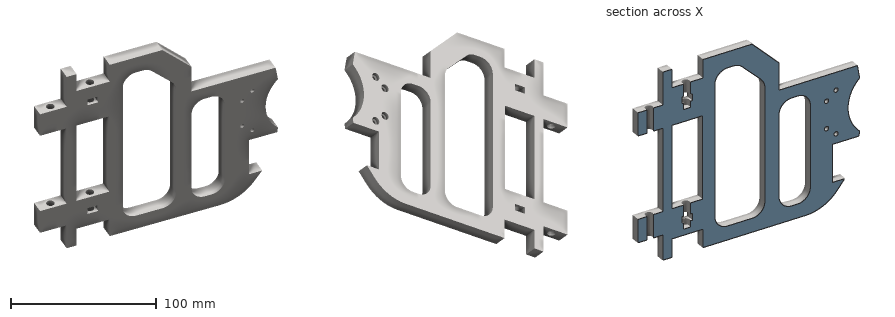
import cadquery as cq
import math

thickness = 10.0
length = 179.3
height = 150.0

arm_tip_length = 20.0
bar_inner_y = 27.6
frame_edge_y = 52.5
gap_edge_y = 52.2
arm_tip_height = 18.8
lower_arm_bottom = 14.7
lower_tip_bottom = 20.0
lower_arm_top = 39.0
upper_arm_bottom = 105.0
upper_arm_top = 135.3
upper_tip_top = upper_arm_bottom + arm_tip_height

shoulder_y = 114.2
shoulder_top = 128.2
slope_top_y = 92.1
nose_top = 106.7
nose_top_y = 177.5
nose_bottom = 49.8
nose_bottom_y = 178.7
nose_center_z = 75.0
scoop_half_height = 21.2
scoop_depth = 9.3
notch_y = 157.4
notch_bottom = 19.9
heel_tip_y = 167.5
heel_start_y = 135.3
heel_radius = 33.3

window_bottom = 11.5
window_radius = 10.0
grip_window_y = (shoulder_y, 139.1)
grip_window_top = 97.0
main_window_y = (62.4, 102.4)
main_window_top = 137.0
main_slope_y = 81.4
main_slope_z = 116.5

screw_places = [(160.0, 17.4), (152.4, 11.0)]
screw_diameter = 3.0
screw_head_diameter = 6.0
screw_head_depth = 2.9

bolt_diameter = 6.0
tip_bolt_y = arm_tip_length / 2
nut_y = 39.8
nut_width = 8.2
nut_height = 5.0
lower_nut_z = 27.5
upper_nut_z = 122.6
bolt_end_clearance = 5.0


def plate(sketch):
    """Extrude a closed YZ outline through the full plate thickness."""
    return sketch.extrude(thickness / 2, both=True)


def block(y_min, y_max, z_min, z_max):
    """Full-thickness rectangular block."""
    return (
        cq.Workplane("XY")
        .box(thickness, y_max - y_min, z_max - z_min, centered=(True, False, False))
        .translate((0, y_min, z_min))
    )


def heel_point(angle):
    """Point on the heel arc, at an angle turned from its lowest point."""
    y = heel_start_y + heel_radius * math.sin(angle)
    z = heel_radius * (1 - math.cos(angle))
    return y, z


def frame():
    """Frame with the scooped nose, the notch and the rounded heel."""
    tip_run = heel_tip_y - heel_start_y
    tip_drop = heel_radius - notch_bottom
    heel_angle = math.atan2(tip_run, tip_drop) - math.acos(heel_radius / math.hypot(tip_run, tip_drop))
    return plate(
        cq.Workplane("YZ")
        .moveTo(frame_edge_y, 0)
        .lineTo(heel_start_y, 0)
        .threePointArc(heel_point(heel_angle / 2), heel_point(heel_angle))
        .lineTo(heel_tip_y, notch_bottom)
        .lineTo(notch_y, notch_bottom)
        .lineTo(notch_y, nose_bottom)
        .lineTo(nose_bottom_y, nose_bottom)
        .lineTo(length, nose_center_z - scoop_half_height)
        .threePointArc(
            (length - scoop_depth, nose_center_z), (length, nose_center_z + scoop_half_height)
        )
        .lineTo(nose_top_y, nose_top)
        .lineTo(shoulder_y, nose_top)
        .lineTo(shoulder_y, shoulder_top)
        .lineTo(slope_top_y, height)
        .lineTo(frame_edge_y, height)
        .close()
    )


def arms():
    """Two arms, each with a narrower tip, tied together by the full-height crossbar."""
    lower = block(arm_tip_length, frame_edge_y, lower_arm_bottom, lower_arm_top)
    upper = block(arm_tip_length, frame_edge_y, upper_arm_bottom, upper_arm_top)
    lower_tip = block(0, bar_inner_y, lower_tip_bottom, lower_arm_top)
    upper_tip = block(0, bar_inner_y, upper_arm_bottom, upper_tip_top)
    crossbar = block(arm_tip_length, bar_inner_y, 0, height)
    backing = block(gap_edge_y, frame_edge_y, lower_arm_top, upper_arm_bottom)
    return crossbar.union(backing).union(lower).union(upper).union(lower_tip).union(upper_tip)


def grip_window():
    window = block(*grip_window_y, window_bottom, grip_window_top)
    return window.edges("|X").fillet(window_radius)


def main_window():
    """Large window whose sloped corner follows the frame's sloped shoulder."""
    near_y, far_y = main_window_y
    window = plate(
        cq.Workplane("YZ")
        .moveTo(near_y, window_bottom)
        .lineTo(far_y, window_bottom)
        .lineTo(far_y, main_slope_z)
        .lineTo(main_slope_y, main_window_top)
        .lineTo(near_y, main_window_top)
        .close()
    )
    return window.edges("|X").fillet(window_radius)


def screw_holes():
    """Holes through the nose, counterbored from the -X face."""
    points = [(y, nose_center_z + side * z) for y, z in screw_places for side in (-1, 1)]
    face = cq.Workplane("YZ", origin=(-thickness / 2, 0, 0)).pushPoints(points)
    holes = face.circle(screw_diameter / 2).extrude(thickness)
    return holes.union(face.circle(screw_head_diameter / 2).extrude(screw_head_depth))


def bolt_hole(y, z_min, z_max):
    """Vertical round hole at mid thickness."""
    base = cq.Workplane("XY", origin=(0, y, z_min))
    return base.circle(bolt_diameter / 2).extrude(z_max - z_min)


def nut_pocket(nut_z, arm_top):
    """Nut slot across the arm, with a bolt hole running down through it from the arm's top."""
    slot = block(
        nut_y - nut_width / 2, nut_y + nut_width / 2, nut_z - nut_height / 2, nut_z + nut_height / 2
    )
    bolt_end_z = nut_z - nut_height / 2 - bolt_end_clearance
    return slot.union(bolt_hole(nut_y, bolt_end_z, arm_top))


result = frame().union(arms())
result = result.cut(grip_window()).cut(main_window()).cut(screw_holes())
result = result.cut(nut_pocket(lower_nut_z, lower_arm_top)).cut(nut_pocket(upper_nut_z, upper_arm_top))
result = result.cut(bolt_hole(tip_bolt_y, 0, height))